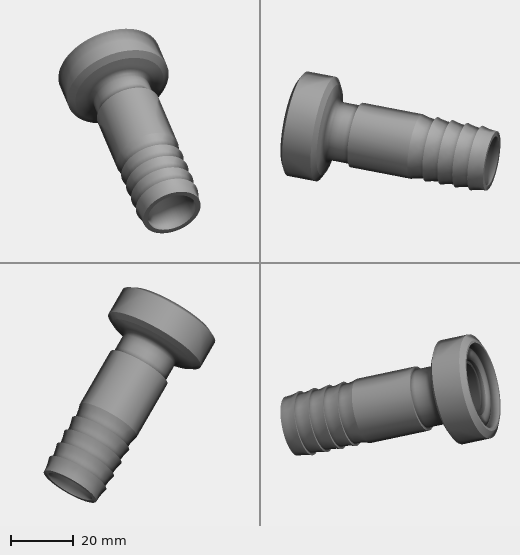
import cadquery as cq
import math


total_length = 66.0
head_length = 12.0
shank_start = 21.0

head_r = 17.0
neck_r = 9.5
shank_r = 10.5

chamfer_length = 1.3
chamfer_angle = math.radians(30)
back_angle = math.radians(14)
neck_fillet_r = 1.6

barb_count = 5
barb_pitch = 5.0
barb_curve_r = 15.0

bore_r = 8.0
counterbore_r = 9.0
counterbore_depth = 4.0
recess_mouth_r = 14.0
recess_floor_r = 13.0
lip_tip_depth = 2.0
lip_edge_angle = math.radians(45)

face_r = head_r - chamfer_length / math.tan(chamfer_angle)
barbs_start = total_length - barb_count * barb_pitch
lip_mid_r = (recess_floor_r + counterbore_r) / 2
lip_half_width = (recess_floor_r - counterbore_r) / 2
lip_height = lip_half_width * math.tan(lip_edge_angle / 2)
lip_edge_depth = lip_tip_depth + lip_height


def fillet_point(center_x, center_r, angle):
    """Point of the neck fillet, at an angle from the inward radial direction toward the head."""
    return (
        center_x - neck_fillet_r * math.sin(angle),
        center_r - neck_fillet_r * math.cos(angle),
    )


def add_head(outline):
    """Outer outline of the head: two chamfers, tapered back and fillet into the neck."""
    turn = math.pi / 2 - back_angle
    corner_x = head_length + (face_r - neck_r) * math.tan(back_angle)
    center_x = corner_x + neck_fillet_r * math.tan(turn / 2)
    center_r = neck_r + neck_fillet_r
    return (
        outline.lineTo(chamfer_length, head_r)
        .lineTo(head_length - chamfer_length, head_r)
        .lineTo(head_length, face_r)
        .lineTo(*fillet_point(center_x, center_r, turn))
        .threePointArc(fillet_point(center_x, center_r, turn / 2), (center_x, neck_r))
    )


def add_shank(outline):
    """Neck and plain shank, up to the first barb."""
    return (
        outline.lineTo(shank_start, neck_r)
        .lineTo(shank_start, shank_r)
        .lineTo(barbs_start, shank_r)
    )


def add_barb(outline, start_x):
    """One concave barb, falling from the shank radius to a level small end."""
    end_x = start_x + barb_pitch
    center_r = shank_r + math.sqrt(barb_curve_r**2 - barb_pitch**2)
    half_pitch = barb_pitch / 2
    mid_r = center_r - math.sqrt(barb_curve_r**2 - half_pitch**2)
    end_r = center_r - barb_curve_r
    return outline.threePointArc((start_x + half_pitch, mid_r), (end_x, end_r))


def add_bore(outline):
    """Through bore, counterbore, rounded sealing lip and conical recess wall."""
    return (
        outline.lineTo(total_length, bore_r)
        .lineTo(counterbore_depth, bore_r)
        .lineTo(counterbore_depth, counterbore_r)
        .lineTo(lip_edge_depth, counterbore_r)
        .threePointArc((lip_tip_depth, lip_mid_r), (lip_edge_depth, recess_floor_r))
        .lineTo(0, recess_mouth_r)
    )


def make_fitting():
    """Revolve the half section, drawn with X along the axis and Y as radius."""
    outline = cq.Workplane("XY").moveTo(0, face_r)
    outline = add_head(outline)
    outline = add_shank(outline)
    for index in range(barb_count):
        start_x = barbs_start + index * barb_pitch
        if index > 0:
            outline = outline.lineTo(start_x, shank_r)
        outline = add_barb(outline, start_x)
    outline = add_bore(outline)
    return outline.close().revolve(360, (0, 0, 0), (1, 0, 0))


result = make_fitting()